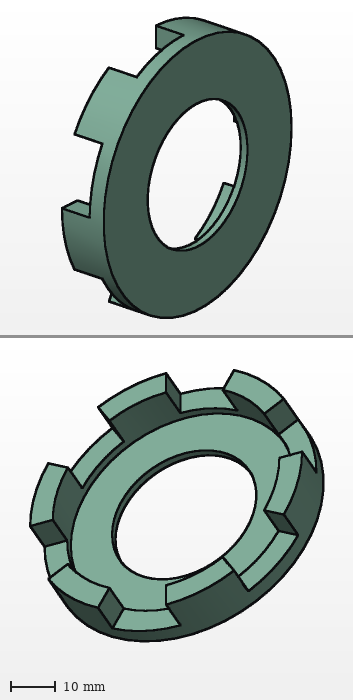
import cadquery as cq
import math

outer_diameter = 66.0
recess_diameter = 55.0
bore_diameter = 35.0
total_width = 12.0
tooth_height = 8.0
floor_thickness = 2.0
tooth_count = 6

tooth_pitch = 360 / tooth_count
tooth_angle = tooth_pitch / 2
recess_depth = total_width - floor_thickness
cutter_reach = outer_diameter


def disc(diameter, width):
    """Disc centred on the X axis, from X = 0 towards +X."""
    return cq.Workplane("YZ").circle(diameter / 2).extrude(width)


def polar_point(radius, angle):
    """Point in the YZ plane at an angle in degrees from +Y towards +Z."""
    return (radius * math.cos(math.radians(angle)), radius * math.sin(math.radians(angle)))


def gap_cutter(start_angle):
    """Wedge with radial sides that clears one gap between two teeth."""
    wedge = cq.Workplane("YZ").polyline([
        (0, 0),
        polar_point(cutter_reach, start_angle),
        polar_point(cutter_reach, start_angle + tooth_pitch - tooth_angle),
    ])
    return wedge.close().extrude(tooth_height)


result = disc(outer_diameter, total_width)
result = result.cut(disc(recess_diameter, recess_depth))
result = result.cut(disc(bore_diameter, total_width))

for index in range(tooth_count):
    result = result.cut(gap_cutter(index * tooth_pitch + tooth_angle))